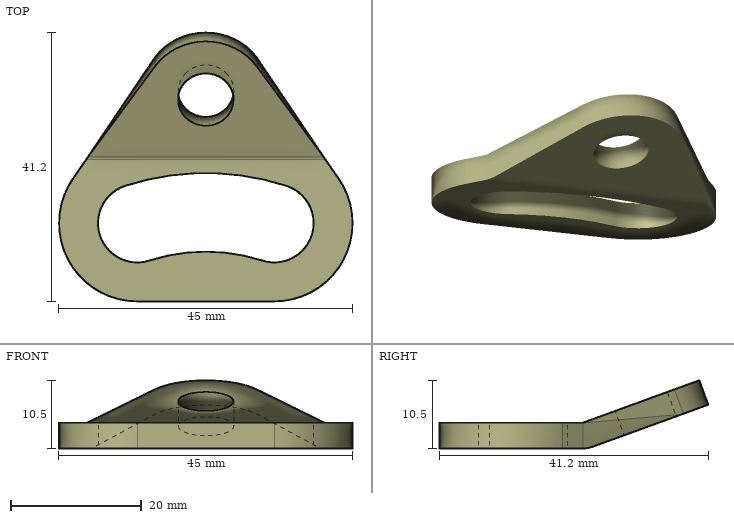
import math

import cadquery as cq

thickness = 4.0
corner_radius = 12.0
corner_offset = 10.5
fold_y = 10.0
fold_angle = 20.0
inner_bend_radius = 1.0
eye_radius = 9.5
eye_distance = 9.5
eye_hole_diameter = 8.5
slot_end_radius = 6.0
slot_path_radius = 34.0
clearance = 10.0

eye_y = fold_y + eye_distance
centre_distance = math.hypot(corner_offset, eye_y)
side_angle = math.atan2(corner_offset, eye_y) + math.asin((corner_radius - eye_radius) / centre_distance)
side_cos = math.cos(side_angle)
side_sin = math.sin(side_angle)
corner_tangent = (corner_offset + corner_radius * side_cos, corner_radius * side_sin)
eye_tangent = (eye_radius * side_cos, eye_distance + eye_radius * side_sin)
fold_half_width = eye_tangent[0] + eye_tangent[1] * math.tan(side_angle)

tilt = math.radians(fold_angle)
tab_length = eye_distance + eye_radius
half_width = corner_offset + corner_radius
trim_half_width = half_width + clearance

tab_plane = cq.Plane(
    origin=(0, fold_y, thickness),
    xDir=(1, 0, 0),
    normal=(0, -math.sin(tilt), math.cos(tilt)),
)


def mirrored(point):
    return (-point[0], point[1])


def bent_strip():
    """Side profile of plate, bend and tab, extruded over the full width."""
    outer_bend_radius = inner_bend_radius + thickness
    bend_start = fold_y - inner_bend_radius * math.tan(tilt / 2)
    bend_centre_z = thickness + inner_bend_radius

    def bend_point(radius, angle):
        return (bend_start + radius * math.sin(angle), bend_centre_z - radius * math.cos(angle))

    top_end = (fold_y + tab_length * math.cos(tilt), thickness + tab_length * math.sin(tilt))
    bottom_end = (top_end[0] + thickness * math.sin(tilt), top_end[1] - thickness * math.cos(tilt))
    return (
        cq.Workplane("YZ")
        .moveTo(-corner_radius, 0)
        .lineTo(bend_start, 0)
        .threePointArc(bend_point(outer_bend_radius, tilt / 2), bend_point(outer_bend_radius, tilt))
        .lineTo(*bottom_end)
        .lineTo(*top_end)
        .lineTo(*bend_point(inner_bend_radius, tilt))
        .threePointArc(bend_point(inner_bend_radius, tilt / 2), bend_point(inner_bend_radius, 0))
        .lineTo(-corner_radius, thickness)
        .close()
        .extrude(half_width, both=True)
    )


def plan_trim():
    """Vertical sides: plate outline, then straight to the eye's tangent point on the lower face."""
    fold_end = (fold_half_width, fold_y)
    lower_tangent_y = fold_y + eye_tangent[1] * math.cos(tilt) + thickness * math.sin(tilt)
    side_slope = (eye_tangent[0] - fold_half_width) / (lower_tangent_y - fold_y)
    far_y = fold_y + tab_length + thickness
    far_end = (fold_half_width + side_slope * (far_y - fold_y), far_y)

    middle_angle = (side_angle - math.pi / 2) / 2
    corner_middle = (
        corner_offset + corner_radius * math.cos(middle_angle),
        corner_radius * math.sin(middle_angle),
    )
    corner_bottom = (corner_offset, -corner_radius)
    return (
        cq.Workplane("XY")
        .moveTo(*mirrored(corner_bottom))
        .lineTo(*corner_bottom)
        .threePointArc(corner_middle, corner_tangent)
        .lineTo(*fold_end)
        .lineTo(*far_end)
        .lineTo(*mirrored(far_end))
        .lineTo(*mirrored(fold_end))
        .lineTo(*mirrored(corner_tangent))
        .threePointArc(mirrored(corner_middle), mirrored(corner_bottom))
        .close()
        .extrude(thickness + tab_length)
    )


def tab_trim():
    """Sides square to the tab: a taper ending in the round eye, left wide below the fold line."""
    wide_end = (trim_half_width, 0)
    wide_start = (trim_half_width, -trim_half_width - fold_y)
    fold_end = (fold_half_width, 0)
    return (
        cq.Workplane(tab_plane)
        .moveTo(*mirrored(wide_start))
        .lineTo(*wide_start)
        .lineTo(*wide_end)
        .lineTo(*fold_end)
        .lineTo(*eye_tangent)
        .threePointArc((0, tab_length), mirrored(eye_tangent))
        .lineTo(*mirrored(fold_end))
        .lineTo(*mirrored(wide_end))
        .close()
        .extrude(trim_half_width, both=True)
    )


def eye_hole():
    return (
        cq.Workplane(tab_plane)
        .center(0, eye_distance)
        .circle(eye_hole_diameter / 2)
        .extrude(thickness + clearance, both=True)
    )


def curved_slot():
    """Slot of constant width along an arc, with round ends."""
    end_angle = math.asin(corner_offset / slot_path_radius)
    path_centre_y = -slot_path_radius * math.cos(end_angle)
    outer_radius = slot_path_radius + slot_end_radius
    inner_radius = slot_path_radius - slot_end_radius

    def path_point(radius, angle):
        return (radius * math.sin(angle), path_centre_y + radius * math.cos(angle))

    outer_end = path_point(outer_radius, end_angle)
    inner_end = path_point(inner_radius, end_angle)
    end_tip = (
        corner_offset + slot_end_radius * math.cos(end_angle),
        -slot_end_radius * math.sin(end_angle),
    )
    return (
        cq.Workplane("XY")
        .moveTo(*mirrored(outer_end))
        .threePointArc(path_point(outer_radius, 0), outer_end)
        .threePointArc(end_tip, inner_end)
        .threePointArc(path_point(inner_radius, 0), mirrored(inner_end))
        .threePointArc(mirrored(end_tip), mirrored(outer_end))
        .close()
        .extrude(thickness)
    )


result = bent_strip().intersect(plan_trim()).intersect(tab_trim()).cut(eye_hole()).cut(curved_slot())